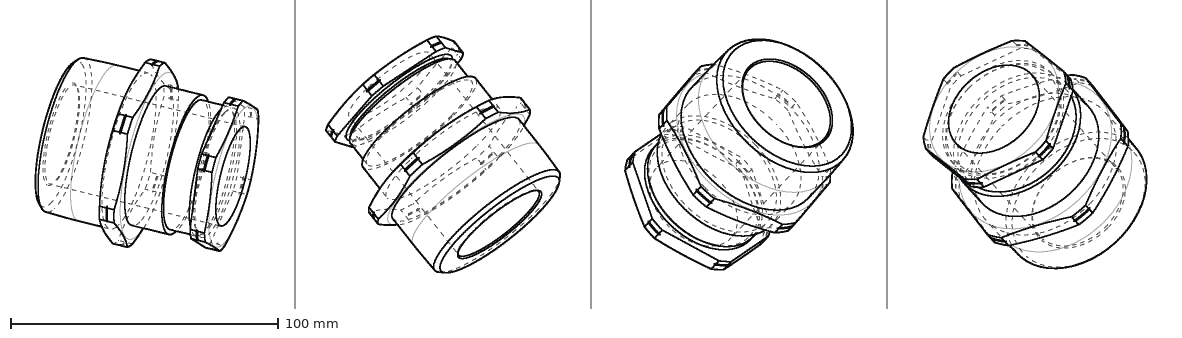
import cadquery as cq
import math


cap_chamfer = 1.7
dome_end = 14.7
flange_start = 27.15
flange_width = 8.0
flange_end = flange_start + flange_width
neck_end = 49.9
thread_end = 61.35
nut_start = 62.3
total_length = 68.6
nut_width = total_length - nut_start

cap_radius = 30.1
cap_front_radius = 29.75
neck_radius = 26.9
thread_radius = 25.0
thread_chamfer = 1.2
bore_radius = 19.15
bore_chamfer = 0.6

hexagon_sides = 6
flange_across_flats = 65.0
flange_across_corners = 71.47
corner_ratio = flange_across_corners / flange_across_flats
nut_across_flats = 55.0
flange_turn = 0.0
nut_turn = 10.3
bevel_depth = 1.1
bevel_radius_ratio = 0.99
nut_bevel_depth = 0.6

groove_depth = 0.25
groove_half_width = 0.25
flange_groove_x = flange_start + flange_width / 2
nut_groove_x = 64.9


def revolve_profile(outline):
    """Close and turn an open outline, drawn as (axial, radial), about the X axis."""
    return outline.close().revolve(360, (0, 0, 0), (1, 0, 0))


def turned_body():
    dome_length = dome_end - cap_chamfer
    dome_drop = cap_radius - cap_front_radius
    dome_arc_radius = (dome_length**2 + dome_drop**2) / (2 * dome_drop)
    half_length = dome_length / 2
    half_drop = dome_arc_radius - math.sqrt(dome_arc_radius**2 - half_length**2)
    root_radius = thread_radius - thread_chamfer
    return revolve_profile(
        cq.Workplane("XY")
        .moveTo(0, 0)
        .lineTo(0, cap_front_radius - cap_chamfer)
        .lineTo(cap_chamfer, cap_front_radius)
        .threePointArc((dome_end - half_length, cap_radius - half_drop), (dome_end, cap_radius))
        .lineTo(flange_end, cap_radius)
        .lineTo(flange_end, neck_radius)
        .lineTo(neck_end, neck_radius)
        .lineTo(neck_end, thread_radius)
        .lineTo(thread_end - thread_chamfer, thread_radius)
        .lineTo(thread_end, root_radius)
        .lineTo(nut_start, thread_radius)
        .lineTo(total_length, thread_radius)
        .lineTo(total_length, 0)
    )


def hexagon(start, width, across_flats, turn, front_bevel, back_bevel, groove_x):
    """Hexagon plate with rounded, grooved corners and a conical bevel on its faces."""
    corner_radius = across_flats / 2 * corner_ratio
    bevel_radius = across_flats / 2 * bevel_radius_ratio
    front_radius = bevel_radius if front_bevel else corner_radius
    back_radius = bevel_radius if back_bevel else corner_radius
    end = start + width

    envelope = cq.Workplane("XY").moveTo(start, 0).lineTo(start, front_radius)
    if front_bevel:
        envelope = envelope.lineTo(start + front_bevel, corner_radius)
    envelope = (
        envelope.lineTo(groove_x - groove_half_width, corner_radius)
        .lineTo(groove_x, corner_radius - groove_depth)
        .lineTo(groove_x + groove_half_width, corner_radius)
        .lineTo(end - back_bevel, corner_radius)
        .lineTo(end, back_radius)
        .lineTo(end, 0)
    )
    sharp_diameter = across_flats / math.cos(math.pi / hexagon_sides)
    prism = (
        cq.Workplane("YZ", origin=(start, 0, 0))
        .polygon(hexagon_sides, sharp_diameter)
        .extrude(width)
        .rotate((0, 0, 0), (1, 0, 0), turn)
    )
    return prism.intersect(revolve_profile(envelope))


def bore():
    mouth_radius = bore_radius + bore_chamfer
    return revolve_profile(
        cq.Workplane("XY")
        .moveTo(0, 0)
        .lineTo(0, mouth_radius)
        .lineTo(bore_chamfer, bore_radius)
        .lineTo(total_length, bore_radius)
        .lineTo(total_length, 0)
    )


flange = hexagon(
    flange_start, flange_width, flange_across_flats, flange_turn, bevel_depth, bevel_depth, flange_groove_x
)
nut = hexagon(nut_start, nut_width, nut_across_flats, nut_turn, 0, nut_bevel_depth, nut_groove_x)

result = turned_body().union(flange).union(nut).cut(bore())